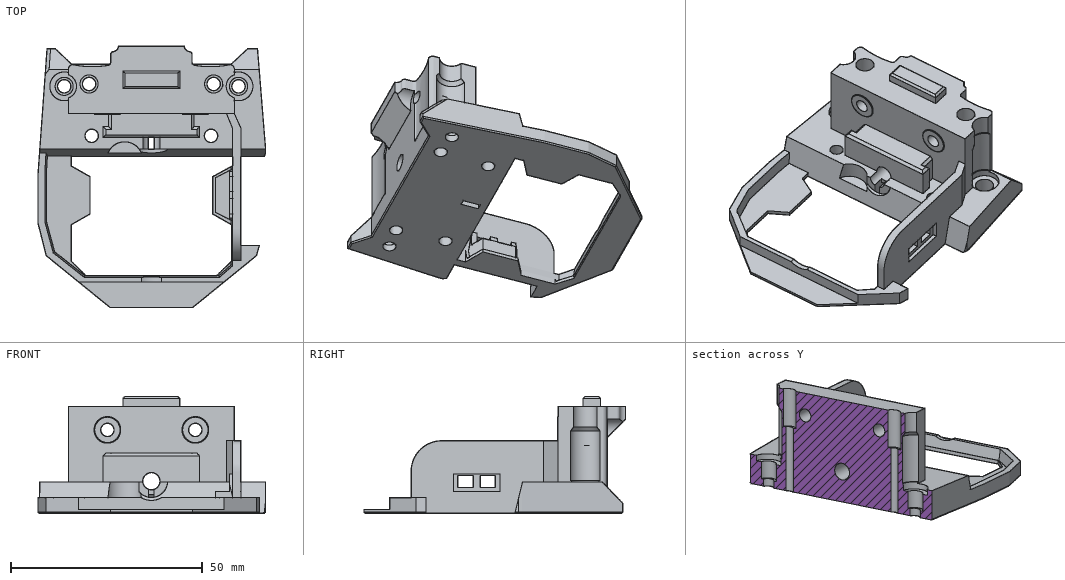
import cadquery as cq


floor_z = 1.0
rim_z = 4.1
base_z = 8.2
rail_z = 15.7
wall_z = 18.95
block_z = 27.9
key_z = 30.5

base_back_y = 16.9
base_notch_y = 12.9
base_left_back_x = -27.2
base_right_x = 29.8
base_front_top_y = -9.3
base_front_bottom_y = -11.25
rear_slope_top_y = 11.5
rear_slope_bottom_z = 2.6
rear_corner_chamfer = 0.95
bottom_chamfer = 0.35

frame_half_x = 29.6
frame_corner_x = 27.4
frame_corner_y = -37.0
rim_front_y = -43.9
rim_taper = 8.0
skirt_front_y = -50.6
skirt_half_x = 10.7
opening_half_x = 20.85
tab_half_x = 15.95
side_gap_front_y = -34.35

wall_inner_x = 21.2
wall_outer_x = 23.3
wall_front_y = -38.3
wall_radius = 8.05
latch_tip_x = 16.8
latch_post_x = 20.3
latch_back_y = -14.4
latch_front_y = -28.0
latch_shelf_z = 5.65
latch_top_z = 10.3
latch_lean = 0.75
windows_y = ((-20.25, -16.4), (-26.1, -22.15))
window_bottom_z = 6.75
window_top_z = 9.8
window_recess_x = 22.3

block_half_x = 21.6
tongue_half_x = 10.65
tongue_back_y = 17.6
tongue_under_z = 24.55
tongue_cove_radius = 3.1
key_half_x = 7.4
key_front_y = 6.5
key_back_y = 11.1
key_chamfer = 0.55

rail_web_half_x = 11.1
rail_flange_half_x = 12.55
rail_front_y = -6.2
rail_flange_back_y = -3.4
rail_chamfer = 0.7

bolt_d = 3.4
insert_d = 4.7
insert_depth = 10.2
block_hole_x = 16.2
block_hole_y = 7.7
base_hole_x = 15.55
base_hole_y = -5.8
cross_hole_x = 11.45
cross_hole_z = 21.75
collar_base_d = 6.95
collar_height = 0.2
collar_chamfer = 0.17
corner_x = 22.7
corner_y = 7.1
corner_pocket_d = 7.5
corner_pocket_z = 6.7
corner_step_z = 2.05
relief_low_d = 8.05
relief_high_d = 6.4
relief_low_z = 8.6
relief_cone_z = 21.4
relief_high_z = 22.5

shaft_d = 4.4
shaft_z = 8.4
shaft_seat_d = 8.45
rim_dip_d = 10.0
slot_width = 1.5
slot_lip_z = 5.0
slot_undercut = 1.7
scallop_x = -6.95
scallop_y = -12.1
scallop_d = 9.4
scallop_z = 3.8

far = 68.2
overlap = 0.7


def box(x0, x1, y0, y1, z0, z1):
    size = (x1 - x0, y1 - y0, z1 - z0)
    return cq.Workplane("XY", origin=(x0, y0, z0)).box(*size, centered=False)


def plan_prism(points, z0, z1):
    """Prism along Z over (x, y) points."""
    return cq.Workplane("XY", origin=(0, 0, z0)).polyline(points).close().extrude(z1 - z0)


def side_prism(points, half_x=far):
    """Prism along X, symmetric about the middle, over (y, z) points."""
    return cq.Workplane("YZ").polyline(points).close().extrude(half_x, both=True)


def rod_z(x, y, z0, z1, diameter):
    return cq.Workplane("XY", origin=(x, y, z0)).circle(diameter / 2).extrude(z1 - z0)


def rod_y(x, z, y0, y1, diameter):
    return cq.Workplane("XZ", origin=(x, y0, z)).circle(diameter / 2).extrude(y0 - y1)


base_zone = side_prism([
    (base_front_bottom_y, 0),
    (base_front_top_y, base_z),
    (base_back_y, base_z),
    (base_back_y, 0),
])


def make_base_and_frame():
    outline = [
        (base_left_back_x, base_back_y),
        (-25.0, base_back_y),
        (-20.8, base_notch_y),
        (20.8, base_notch_y),
        (25.1, base_back_y),
        (27.7, base_back_y),
        (base_right_x, base_front_top_y),
        (base_right_x, -10.35),
        (29.4, base_front_bottom_y),
        (28.15, side_gap_front_y),
        (frame_corner_x, frame_corner_y),
        (skirt_half_x, skirt_front_y),
        (-skirt_half_x, skirt_front_y),
        (-frame_corner_x, frame_corner_y),
        (-frame_half_x, -28.4),
        (-frame_half_x, -16.15),
    ]
    body = plan_prism(outline, 0, base_z).faces("<Z").edges().chamfer(bottom_chamfer)

    above_rim = box(-far, far, -far, 0, rim_z, base_z)
    side_gap = box(wall_outer_x, far, side_gap_front_y, 0, 0, base_z)
    rim_inside = [
        (-26.85, 0),
        (-27.75, -15.2),
        (-27.75, -28.15),
        (-25.55, -36.3),
        (-17.45, -42.7),
        (17.7, -42.7),
        (wall_inner_x, -39.6),
        (wall_inner_x, 0),
    ]
    pocket = cq.Workplane("XY", origin=(0, 0, rim_z)).polyline(rim_inside).close()
    pocket = pocket.extrude(floor_z - rim_z, taper=rim_taper)
    opening_points = [
        (-opening_half_x, 0),
        (-opening_half_x, -13.6),
        (-tab_half_x, -16.4),
        (-tab_half_x, -26.2),
        (-opening_half_x, -29.0),
        (-opening_half_x, -38.45),
        (-17.05, -42.2),
        (17.05, -42.2),
        (opening_half_x, -38.45),
        (opening_half_x, -29.0),
        (tab_half_x, -26.2),
        (tab_half_x, -16.4),
        (wall_inner_x, -13.55),
        (wall_inner_x, 0),
    ]
    opening = plan_prism(opening_points, 0, rim_z)
    removed = above_rim.union(side_gap).union(pocket).union(opening).cut(base_zone)
    above_skirt = box(-far, far, -far, rim_front_y, floor_z, base_z)
    body = body.cut(removed).cut(above_skirt)

    body = body.cut(side_prism([
        (rear_slope_top_y, base_z),
        (base_back_y, rear_slope_bottom_z),
        (base_back_y, base_z),
    ]))
    middle_of_slope = (
        base_left_back_x,
        (rear_slope_top_y + base_back_y) / 2,
        (rear_slope_bottom_z + base_z) / 2,
    )
    slope_edge = cq.selectors.NearestToPointSelector(middle_of_slope)
    return body.edges(slope_edge).chamfer(rear_corner_chamfer)


def make_block():
    half = (
        cq.Workplane("XY", origin=(0, 0, floor_z))
        .lineTo(block_half_x, 0)
        .lineTo(block_half_x, 11.7)
        .threePointArc((21.3, 12.4), (20.6, 12.75))
        .threePointArc((16.0, 12.2), (11.3, 12.55))
        .threePointArc((10.85, 12.8), (tongue_half_x, 13.35))
        .lineTo(tongue_half_x, 15.35)
        .threePointArc((10.4, 15.9), (9.9, 16.15))
        .threePointArc((8.9, 16.7), (8.6, tongue_back_y))
        .lineTo(0, tongue_back_y)
        .close()
        .extrude(block_z - floor_z)
    )
    block = half.union(half.mirror("YZ"))

    brace_z = tongue_under_z - (tongue_back_y - base_notch_y)
    block = block.cut(side_prism([
        (base_notch_y, 0),
        (base_notch_y, brace_z),
        (tongue_back_y, tongue_under_z),
        (tongue_back_y, 0),
    ]))
    for side in (-1, 1):
        cove_z = tongue_under_z - tongue_cove_radius
        cove = rod_y(side * tongue_half_x, cove_z, base_notch_y, tongue_back_y, 2 * tongue_cove_radius)
        block = block.cut(cove)

    key = box(-key_half_x, key_half_x, key_front_y, key_back_y, base_z, key_z)
    return block.union(key.faces(">Z").edges().chamfer(key_chamfer))


def make_rail():
    web = box(-rail_web_half_x, rail_web_half_x, rail_front_y, overlap, floor_z, rail_z)
    flange = box(-rail_flange_half_x, rail_flange_half_x, rail_front_y, rail_flange_back_y, floor_z, rail_z)
    return web.union(flange).faces(">Z").edges().chamfer(rail_chamfer)


def make_latch_wall():
    wall_plan = [
        (19.55, 0),
        (block_half_x, 0),
        (wall_outer_x, -3.75),
        (wall_outer_x, wall_front_y),
        (wall_inner_x, wall_front_y),
        (wall_inner_x, -4.0),
    ]
    wall = plan_prism(wall_plan, floor_z, wall_z)
    wall = wall.edges("|X and >Z and <Y").fillet(wall_radius)

    latch_plan = [
        (wall_outer_x, latch_back_y),
        (wall_inner_x, latch_back_y),
        (latch_tip_x, -16.7),
        (latch_tip_x, -25.8),
        (wall_inner_x, latch_front_y),
        (wall_outer_x, latch_front_y),
    ]
    latch = plan_prism(latch_plan, floor_z, latch_top_z)
    latch = latch.intersect(side_prism([
        (latch_back_y, 0),
        (latch_back_y, rim_z),
        (latch_back_y - latch_lean, latch_top_z),
        (latch_front_y + latch_lean, latch_top_z),
        (latch_front_y, rim_z),
        (latch_front_y, 0),
    ]))
    latch = latch.cut(box(0, latch_post_x, -far, 0, latch_shelf_z, latch_top_z))

    wall = wall.union(latch)
    for y0, y1 in windows_y:
        wall = wall.cut(box(0, wall_inner_x, y0, y1, window_bottom_z, latch_top_z))
        wall = wall.cut(box(0, far, y0, y1, window_bottom_z, window_top_z))

    recess_back_y = latch_back_y - latch_lean
    recess_front_y = latch_front_y + latch_lean
    recess = box(window_recess_x, wall_outer_x, recess_front_y, recess_back_y, latch_shelf_z, latch_top_z)
    return wall.cut(recess)


def cut_corner_hole(body, x):
    """Stepped screw hole in the base corner, with a relief up the side of the block."""
    half_profile = [
        (0, 0),
        (bolt_d / 2, 0),
        (bolt_d / 2, corner_step_z),
        (insert_d / 2, corner_step_z),
        (insert_d / 2, corner_pocket_z),
        (corner_pocket_d / 2, corner_pocket_z),
        (corner_pocket_d / 2, relief_low_z),
        (relief_low_d / 2, relief_low_z),
        (relief_low_d / 2, relief_cone_z),
        (relief_high_d / 2, relief_high_z),
        (relief_high_d / 2, block_z),
        (0, block_z),
    ]
    tool = cq.Workplane("XZ").polyline(half_profile).close().revolve(360, (0, 0), (0, 1))
    return body.cut(tool.translate((x, corner_y, 0)))


def cut_screw_holes(body):
    for side in (-1, 1):
        collar = rod_y(side * cross_hole_x, cross_hole_z, -collar_height, overlap, collar_base_d)
        body = body.union(collar.faces("<Y").edges().chamfer(collar_chamfer))
        body = body.cut(rod_y(side * cross_hole_x, cross_hole_z, -collar_height, tongue_back_y, bolt_d))
        body = body.cut(rod_z(side * base_hole_x, base_hole_y, 0, base_z, bolt_d))
        body = body.cut(rod_z(side * block_hole_x, block_hole_y, 0, block_z, bolt_d))
        insert_z = block_z - insert_depth
        body = body.cut(rod_z(side * block_hole_x, block_hole_y, insert_z, block_z, insert_d))
        body = cut_corner_hole(body, side * corner_x)
    return body


def cut_shaft(body):
    body = body.cut(rod_y(0, shaft_z, base_front_bottom_y, tongue_back_y, shaft_d))
    body = body.cut(rod_y(0, shaft_z, base_front_bottom_y, base_front_top_y, shaft_seat_d))
    body = body.cut(rod_y(0, shaft_z, rim_front_y, frame_corner_y, rim_dip_d))

    body = body.cut(side_prism([
        (base_front_top_y, 0),
        (base_front_top_y, shaft_z),
        (rail_front_y, shaft_z),
        (rail_front_y, slot_lip_z),
        (rail_front_y + slot_undercut, slot_lip_z - slot_undercut),
        (rail_front_y + slot_undercut, 0),
    ], slot_width / 2))
    return body.cut(rod_z(scallop_x, scallop_y, scallop_z, base_z, scallop_d))


body = make_base_and_frame()
for piece in (make_block(), make_rail(), make_latch_wall()):
    body = body.union(piece)
body = cut_screw_holes(body)
result = cut_shaft(body)